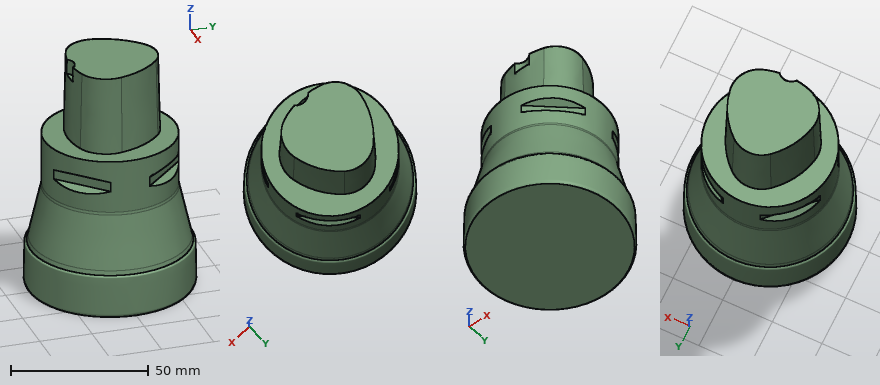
import cadquery as cq
import math

total_height = 90.0
cap_height = 16.65
flare_rim_height = 18.45
flare_top_height = 38.7
collar_bottom_height = 39.8
collar_top_height = 60.0

collar_radius = 25.0
flare_neck_radius = 25.2
flare_rim_radius = 29.9
flare_base_radius = 30.3
cap_bottom_radius = 31.5
cap_shoulder_radius = 31.2
cap_bottom_rim = 0.7
cap_top_rim = 0.9
cap_widest_height = 1.8

lobe_reach = 18.6
flat_reach = 16.2
flat_arc_radius = 30.15
shank_inset = 0.7
lobe_count = 3

notch_radius = 4.5
notch_floor_y = -13.7
notch_depth = 5.7

groove_count = 4
groove_mid_height = 49.9
groove_floor_width = 3.6
groove_floor_distance = 22.1
groove_flank_angle = 30.0
groove_length = 2 * collar_radius


def polar(radius, angle):
    """Point at a radius and an angle in degrees from +X."""
    return (radius * math.cos(math.radians(angle)), radius * math.sin(math.radians(angle)))


def shank_outline(workplane):
    """Closed outline of tangent arcs: three shallow sides joined by three rounded lobes."""
    flat_center = flat_arc_radius - flat_reach
    lobe_radius = (
        flat_arc_radius**2 - flat_center**2 - lobe_reach**2 - flat_center * lobe_reach
    ) / (2 * flat_arc_radius - 2 * lobe_reach - flat_center)
    lobe_center_x, lobe_center_y = polar(lobe_reach - lobe_radius, -30)
    joint_direction = math.atan2(lobe_center_x, flat_center - lobe_center_y)
    joint_x = flat_arc_radius * math.sin(joint_direction)
    joint_y = flat_center - flat_arc_radius * math.cos(joint_direction)
    joint_radius = math.hypot(joint_x, joint_y)
    joint_angle = math.degrees(math.atan2(joint_x, -joint_y))

    pitch = 360 / lobe_count
    outline = workplane.moveTo(*polar(joint_radius, -90 - joint_angle))
    for side in range(lobe_count):
        flat_angle = -90 + side * pitch
        outline = outline.threePointArc(
            polar(flat_reach, flat_angle), polar(joint_radius, flat_angle + joint_angle)
        )
        outline = outline.threePointArc(
            polar(lobe_reach, flat_angle + pitch / 2),
            polar(joint_radius, flat_angle + pitch - joint_angle),
        )
    return outline.close()


def make_shank():
    """Tapered shank with the key notch in its -Y side."""
    height = total_height - collar_top_height
    taper = math.degrees(math.atan2(shank_inset, height))
    base = cq.Workplane("XY").workplane(offset=collar_top_height)
    shank = shank_outline(base).extrude(height, taper=taper)
    notch = (
        cq.Workplane("XY")
        .workplane(offset=total_height - notch_depth)
        .center(0, notch_floor_y - notch_radius)
        .circle(notch_radius)
        .extrude(notch_depth)
    )
    return shank.cut(notch)


def make_groove(angle):
    """Straight groove cutter with sloping flanks, facing outward at the given angle."""
    depth = collar_radius - groove_floor_distance
    floor_half = groove_floor_width / 2
    mouth_half = floor_half + depth * math.tan(math.radians(groove_flank_angle))
    return (
        cq.Workplane("XZ")
        .polyline([
            (groove_floor_distance, groove_mid_height - floor_half),
            (collar_radius, groove_mid_height - mouth_half),
            (collar_radius, groove_mid_height + mouth_half),
            (groove_floor_distance, groove_mid_height + floor_half),
        ])
        .close()
        .extrude(groove_length / 2, both=True)
        .rotate((0, 0, 0), (0, 0, 1), angle)
    )


def make_holder():
    """Flared body with its collar, gripper grooves and shank."""
    holder = (
        cq.Workplane("XZ")
        .polyline([
            (0, cap_height),
            (flare_base_radius, cap_height),
            (flare_rim_radius, flare_rim_height),
            (flare_neck_radius, flare_top_height),
            (collar_radius, collar_bottom_height),
            (collar_radius, collar_top_height),
            (0, collar_top_height),
        ])
        .close()
        .revolve(360, (0, 0), (0, 1))
    )
    pitch = 360 / groove_count
    for index in range(groove_count):
        holder = holder.cut(make_groove((index + 0.5) * pitch))
    return holder.union(make_shank())


def make_cap():
    """Cap under the holder, its side one smooth curve that rolls over at both rims."""
    side_points = [
        (cap_bottom_radius - cap_bottom_rim, 0),
        (cap_bottom_radius, cap_widest_height),
        (cap_shoulder_radius, cap_height - cap_top_rim),
        (flare_base_radius, cap_height),
    ]
    outward_and_up = (1, 1)
    vertical = (0, 1)
    rising = (cap_shoulder_radius - cap_bottom_radius, cap_height - cap_top_rim - cap_widest_height)
    inward = (-1, 0.5)
    return (
        cq.Workplane("XZ")
        .moveTo(*side_points[0])
        .spline(side_points[1:], tangents=[outward_and_up, vertical, rising, inward], includeCurrent=True)
        .lineTo(0, cap_height)
        .lineTo(0, 0)
        .close()
        .revolve(360, (0, 0), (0, 1))
    )


holder = make_holder()
cap = make_cap()

result = cq.Compound.makeCompound([holder.val(), cap.val()])